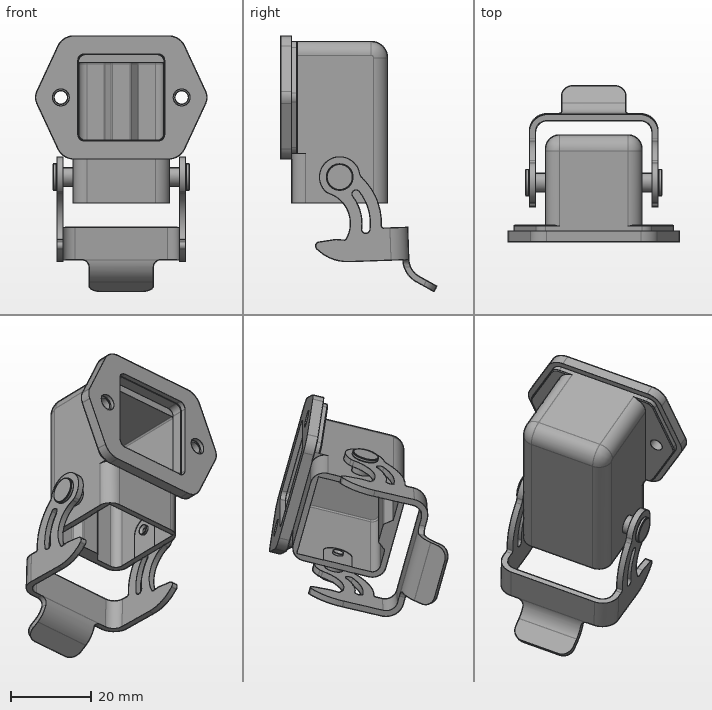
import cadquery as cq
import math


flange_half_height = 15.35
flange_side_x = 21.75
flange_shoulder_x = 14.6
flange_shoulder_radius = 4.45
flange_side_radius = 3.5
flange_thickness = 2.75
step_inset = 1.4
step_thickness = 1.45
step_corner_radius = 2.55
step_edge_chamfer = 0.25
step_back_y = flange_thickness + step_thickness

screw_x = 15.05
screw_radius = 1.65
screw_recess_radius = 2.1
screw_recess_depth = 1.1

wall = 1.45
body_half_width = 12.05
body_back_y = 26.65
body_bottom_z = -26.3
body_top_z = flange_half_height - step_inset
body_radius = 3.5
body_top_back_radius = 4.1

cavity_half_width = body_half_width - wall
cavity_back_y = body_back_y - wall
cavity_radius = body_radius - wall
cavity_top_z = 8.75
cavity_top_radius = 0.4

window_size = 21.7
window_radius = 1.65
window_recess_depth = 1.35
window_lip = 0.2

rib_crest_half_width = 2.4
rib_foot_half_width = 4.15
rib_height = 2.1
rib_edge_radius = 0.45

pivot_y = 14.7
pivot_z = -19.8
shaft_radius = 2.35
head_radius = 3.3
head_thickness = 0.95
head_chamfer = 0.2
rivet_radius = 1.35
rivet_length = 0.6
bore_radius = 0.65
bore_mouth_radius = 1.3
bore_depth = 2.55
pad_radius = 3.7
pad_height = 0.05

lever_tilt = 2.0
lever_half_width = 16.05
lever_thickness = 1.6
lever_back_y = 16.5
bridge_thickness = 1.5
bridge_bend_radius = 4.45
bridge_top_z = -13.05
bridge_bottom_z = -21.15
ear_radius = 5.05

arm_center = (-5.7, -11.35)
arm_inner_radius = 7.9
arm_outer_radius = 15.7
arm_blend_radius = 1.9
arm_root_radius = 0.5

slot_radius = 11.85
slot_half_width = 1.0
slot_start_angle = 36.0
slot_end_angle = -9.0

hook_valley_z = -15.75
hook_peak = (-1.5, -15.5)
hook_tip = (-7.5, -16.2)
hook_belly_y = 1.9
hook_belly_radius = 12.1
hook_tip_radius = 1.0

tongue_half_width = 8.0
tongue_root_radius = 1.8
tongue_bend_radius = 5.75
tongue_bend_angle = 59.0
tongue_length = 5.05
tongue_corner_radius = 2.95

pick_margin = 0.3
pick_reach = 63.75


def block(x_half, y_range, z_range):
    """Box symmetric about X = 0."""
    size = (2 * x_half, y_range[1] - y_range[0], z_range[1] - z_range[0])
    box = cq.Workplane("XY").box(*size, centered=(True, False, False))
    return box.translate((0, y_range[0], z_range[0]))


def front_plane():
    """Workplane on the mounting face, with local axes -X and Z, extruding toward +Y."""
    return cq.Workplane("XZ").transformed(rotate=(0, 180, 0))


def side_plane(x):
    """Workplane at the given X, with local axes Y and Z, extruding toward +X."""
    return cq.Workplane("YZ", origin=(x, 0, 0))


def polar(center, radius, degrees):
    """Point on a circle at an angle counted from the first axis toward the second."""
    angle = math.radians(degrees)
    return (center[0] + radius * math.cos(angle), center[1] + radius * math.sin(angle))


def arc_middle(center, radius, start, end):
    """Point on a circle halfway between two of its points, along the shorter arc."""
    dx = (start[0] + end[0]) / 2 - center[0]
    dy = (start[1] + end[1]) / 2 - center[1]
    stretch = radius / math.hypot(dx, dy)
    return (center[0] + dx * stretch, center[1] + dy * stretch)


def near(point):
    """Selects edges whose center lies at the given Y, Z point, at any X."""
    y, z = point
    return cq.selectors.BoxSelector(
        (-pick_reach, y - pick_margin, z - pick_margin),
        (pick_reach, y + pick_margin, z + pick_margin),
    )


def hexagon_plate(thickness, inset, side_radius, shoulder_radius):
    """Plate with the flange outline moved inward by the inset, starting at Y = 0."""
    slope_run = flange_side_x - flange_shoulder_x
    slope_length = math.hypot(slope_run, flange_half_height)
    side_x = flange_side_x - inset * slope_length / flange_half_height
    shoulder_z = flange_half_height - inset
    shoulder_x = side_x - shoulder_z * slope_run / flange_half_height
    corners = [
        (side_x, 0),
        (shoulder_x, shoulder_z),
        (-shoulder_x, shoulder_z),
        (-side_x, 0),
        (-shoulder_x, -shoulder_z),
        (shoulder_x, -shoulder_z),
    ]
    plate = front_plane().polyline(corners).close().extrude(thickness)
    plate = plate.edges("|Y").edges("<X or >X").fillet(side_radius)
    for face in (">Z", "<Z"):
        plate = plate.faces(face).edges("|Y").fillet(shoulder_radius)
    return plate


def make_flange():
    flange = hexagon_plate(flange_thickness, 0, flange_side_radius, flange_shoulder_radius)
    step = hexagon_plate(step_back_y, step_inset, step_corner_radius, step_corner_radius)
    return flange.union(step.faces(">Y").chamfer(step_edge_chamfer))


def make_shell():
    """Solid housing; the front corners are rounded only below the flange step."""
    step_bottom_z = step_inset - flange_half_height
    y_range = (flange_thickness, body_back_y)
    lower = block(body_half_width, y_range, (body_bottom_z, step_bottom_z))
    lower = lower.edges("|Z").fillet(body_radius)
    upper = block(body_half_width, y_range, (step_bottom_z, body_top_z))
    upper = upper.edges(">Y and >Z").fillet(body_top_back_radius)
    upper = upper.edges(">Y and |Z").fillet(body_radius)
    return upper.union(lower)


def make_cavity():
    """Space open at the bottom, narrowed by a tapered rib on the back wall."""
    cavity = block(cavity_half_width, (step_back_y, cavity_back_y), (body_bottom_z, cavity_top_z))
    cavity = cavity.edges(">Y and |Z").fillet(cavity_radius)
    rib_crest_y = cavity_back_y - rib_height
    rib = (
        cq.Workplane("XY", origin=(0, 0, body_bottom_z))
        .moveTo(-rib_foot_half_width, cavity_back_y)
        .lineTo(-rib_crest_half_width, rib_crest_y)
        .lineTo(rib_crest_half_width, rib_crest_y)
        .lineTo(rib_foot_half_width, cavity_back_y)
        .close()
        .extrude(cavity_top_z - body_bottom_z)
    )
    cavity = cavity.cut(rib)
    rib_zone_half_width = rib_foot_half_width + pick_margin
    rib_zone = cq.selectors.BoxSelector(
        (-rib_zone_half_width, rib_crest_y - pick_margin, -pick_reach),
        (rib_zone_half_width, cavity_back_y + pick_margin, pick_reach),
    )
    cavity = cavity.edges("|Z").edges(rib_zone).fillet(rib_edge_radius)
    return cavity.faces(">Z").edges("not <Y").fillet(cavity_top_radius)


def make_window():
    """Square opening through the front wall, with a small step around its inner part."""

    def opening(size, radius, depth):
        return front_plane().rect(size, size).extrude(depth).edges("|Y").fillet(radius)

    inner = opening(window_size - 2 * window_lip, window_radius, step_back_y)
    return opening(window_size, window_radius, window_recess_depth).union(inner)


def make_screw_holes():
    """Through holes, wider for a short depth at the mounting face."""
    centers = [(-screw_x, 0), (screw_x, 0)]
    holes = front_plane().pushPoints(centers).circle(screw_radius).extrude(step_back_y)
    recesses = front_plane().pushPoints(centers).circle(screw_recess_radius)
    return holes.union(recesses.extrude(screw_recess_depth))


def make_pivot():
    """Right-hand pin with its head and hollow inner end, and the arched pad around it."""

    def disc(x, radius, length):
        return side_plane(x).center(pivot_y, pivot_z).circle(radius).extrude(length)

    pad_x = cavity_half_width - pad_height
    rivet_x = pad_x - rivet_length
    pin = disc(cavity_half_width, shaft_radius, lever_half_width - cavity_half_width)
    head = disc(lever_half_width, head_radius, head_thickness).edges().chamfer(head_chamfer)
    rivet = disc(rivet_x, rivet_radius, rivet_length)
    pad = (
        side_plane(pad_x)
        .moveTo(pivot_y - pad_radius, body_bottom_z)
        .lineTo(pivot_y - pad_radius, pivot_z)
        .threePointArc((pivot_y, pivot_z + pad_radius), (pivot_y + pad_radius, pivot_z))
        .lineTo(pivot_y + pad_radius, body_bottom_z)
        .close()
        .extrude(pad_height)
    )
    mouth_depth = bore_mouth_radius - bore_radius
    mouth = cq.Workplane(
        cq.Solid.makeCone(
            bore_mouth_radius,
            bore_radius,
            mouth_depth,
            pnt=cq.Vector(rivet_x, pivot_y, pivot_z),
            dir=cq.Vector(1, 0, 0),
        )
    )
    bore = disc(rivet_x, bore_radius, mouth_depth + bore_depth).union(mouth)
    return pin.union(head).union(rivet).union(pad), bore


def ear_crossing(radius, side):
    """Point where an arm edge circle crosses the ear circle, on the given side of the arm."""
    distance = math.hypot(*arm_center)
    along = (ear_radius**2 - radius**2 + distance**2) / (2 * distance)
    across = side * math.sqrt(ear_radius**2 - along**2)
    unit = (arm_center[0] / distance, arm_center[1] / distance)
    return (along * unit[0] - across * unit[1], along * unit[1] + across * unit[0])


def make_lever_outline():
    """Side outline of ear, curved arm, hook and bridge, extruded over the full width."""
    outer_root_y = arm_center[0] + math.sqrt(
        arm_outer_radius**2 - (bridge_top_z - arm_center[1]) ** 2
    )
    outer_root = (outer_root_y, bridge_top_z)
    outer_ear = ear_crossing(arm_outer_radius, 1)
    inner_ear = ear_crossing(arm_inner_radius, -1)
    valley_y = arm_center[0] + math.sqrt(
        arm_inner_radius**2 - (hook_valley_z - arm_center[1]) ** 2
    )
    valley = (valley_y, hook_valley_z)
    arm_length = math.hypot(*arm_center)
    ear_top = (-arm_center[0] * ear_radius / arm_length, -arm_center[1] * ear_radius / arm_length)
    belly_center = (hook_belly_y, bridge_bottom_z + hook_belly_radius)
    belly_start = (hook_belly_y, bridge_bottom_z)

    outline = (
        side_plane(-lever_half_width)
        .moveTo(lever_back_y, bridge_top_z)
        .lineTo(*outer_root)
        .threePointArc(
            arc_middle(arm_center, arm_outer_radius, outer_root, outer_ear), outer_ear
        )
        .threePointArc(ear_top, inner_ear)
        .threePointArc(arc_middle(arm_center, arm_inner_radius, inner_ear, valley), valley)
        .lineTo(*hook_peak)
        .lineTo(*hook_tip)
        .threePointArc(
            arc_middle(belly_center, hook_belly_radius, hook_tip, belly_start), belly_start
        )
        .lineTo(lever_back_y, bridge_bottom_z)
        .close()
        .extrude(2 * lever_half_width)
    )
    roundings = [
        (outer_ear, arm_blend_radius),
        (inner_ear, arm_blend_radius),
        (outer_root, arm_root_radius),
        (valley, arm_root_radius),
        (hook_tip, hook_tip_radius),
    ]
    for point, radius in roundings:
        outline = outline.edges("|X").edges(near(point)).fillet(radius)
    return outline


def make_arm_slot():
    """Curved slot with round ends, following the arm through both sides of the lever."""
    inner = slot_radius - slot_half_width
    outer = slot_radius + slot_half_width
    start = slot_start_angle
    end = slot_end_angle
    middle = (start + end) / 2
    overrun = math.degrees(slot_half_width / slot_radius)
    return (
        side_plane(-lever_half_width)
        .moveTo(*polar(arm_center, outer, start))
        .threePointArc(polar(arm_center, outer, middle), polar(arm_center, outer, end))
        .threePointArc(polar(arm_center, slot_radius, end - overrun), polar(arm_center, inner, end))
        .threePointArc(polar(arm_center, inner, middle), polar(arm_center, inner, start))
        .threePointArc(
            polar(arm_center, slot_radius, start + overrun), polar(arm_center, outer, start)
        )
        .close()
        .extrude(2 * lever_half_width)
    )


def make_bent_strip():
    """U-shaped strip, seen along Z, that the lever is cut from."""
    front_y = -2 * ear_radius
    z_range = (bridge_bottom_z - ear_radius, 2 * ear_radius)
    outer = block(lever_half_width, (front_y, lever_back_y), z_range)
    outer = outer.edges(">Y and |Z").fillet(bridge_bend_radius)
    inner_half_width = lever_half_width - lever_thickness
    inner = block(inner_half_width, (front_y, lever_back_y - bridge_thickness), z_range)
    inner = inner.edges(">Y and |Z").fillet(bridge_bend_radius - bridge_thickness)
    return outer.cut(inner)


def make_tongue():
    """Thumb tongue: a strip bent outward, flared where it meets the bridge."""
    bend_center = (lever_back_y - bridge_thickness / 2 + tongue_bend_radius, bridge_bottom_z)
    near_radius = tongue_bend_radius - bridge_thickness / 2
    far_radius = tongue_bend_radius + bridge_thickness / 2
    bend_end = 180 + tongue_bend_angle
    bend_middle = 180 + tongue_bend_angle / 2
    flare_half_width = tongue_half_width + tongue_root_radius

    near_end = polar(bend_center, near_radius, bend_end)
    far_end = polar(bend_center, far_radius, bend_end)
    near_tip = polar(near_end, tongue_length, bend_end + 90)
    far_tip = polar(far_end, tongue_length, bend_end + 90)
    strip = (
        side_plane(-flare_half_width)
        .moveTo(*polar(bend_center, near_radius, 180))
        .threePointArc(polar(bend_center, near_radius, bend_middle), near_end)
        .lineTo(*near_tip)
        .lineTo(*far_tip)
        .lineTo(*far_end)
        .threePointArc(
            polar(bend_center, far_radius, bend_middle), polar(bend_center, far_radius, 180)
        )
        .close()
        .extrude(2 * flare_half_width)
    )
    for side in (-1, 1):
        flare_center = (side * flare_half_width, bridge_bottom_z - tongue_root_radius)
        trim = block(
            tongue_root_radius,
            (0, 2 * lever_back_y),
            (2 * bridge_bottom_z, flare_center[1]),
        ).translate((flare_center[0], 0, 0))
        flare = cq.Workplane("XZ", origin=(flare_center[0], 0, flare_center[1]))
        strip = strip.cut(trim).cut(flare.circle(tongue_root_radius).extrude(-2 * lever_back_y))
    tip = ((near_tip[0] + far_tip[0]) / 2, (near_tip[1] + far_tip[1]) / 2)
    corners = strip.edges("not |X").edges(near(tip))
    return corners.fillet(tongue_corner_radius)


def make_lever():
    lever = make_lever_outline().cut(make_arm_slot()).intersect(make_bent_strip())
    lever = lever.union(make_tongue())
    lever = lever.rotate((0, 0, 0), (1, 0, 0), lever_tilt)
    return lever.translate((0, pivot_y, pivot_z))


result = make_flange().union(make_shell())
result = result.cut(make_cavity()).cut(make_window()).cut(make_screw_holes())
result = result.union(make_lever())
right_pivot, right_bore = make_pivot()
result = result.union(right_pivot).cut(right_bore)
result = result.union(right_pivot.mirror("YZ")).cut(right_bore.mirror("YZ"))